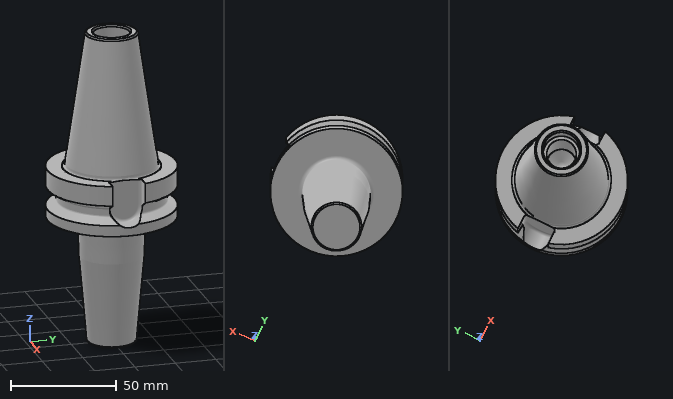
import cadquery as cq
import math

total_height = 155.4
gauge_height = 90.0
flange_top = 88.1
flange_bottom = 63.0
groove_top = 78.3
groove_bottom = 68.4
collar_bottom = 57.7
nose_shoulder = 43.5

flange_radius = 63.0 / 2
neck_radius = 53.0 / 2
taper_large_radius = 22.2
taper_small_radius = 12.7
collar_radius = 16.2
shoulder_radius = 15.7
tip_radius = 12.0
groove_flank_angle = 30
groove_fillet = 1.0
collar_fillet = 1.9
end_chamfer = 0.8

relief_fillet = 1.4
relief_radius = taper_large_radius + relief_fillet
relief_depth = 0.6

bore_radius = 8.7
bore_chamfer = 0.8
bore_depth = 9.3
pilot_radius = 7.0
pilot_depth = 31.1
drill_point_angle = 118

slot_half_width = 8.1
slot_floor_offset = 22.5
slot_arc_height = 75.0
slot_floor_fillet = 1.5
slot_overrun = 1.5


def make_body():
    """Revolve the outer profile and round the V-groove and collar corners."""
    flank_drop = (flange_radius - neck_radius) * math.tan(math.radians(groove_flank_angle))
    relief_floor = flange_top - relief_depth
    fillet_center = (relief_radius, relief_floor + relief_fillet)
    fillet_reach = relief_fillet * math.sqrt(0.5)
    fillet_middle = (fillet_center[0] - fillet_reach, fillet_center[1] - fillet_reach)
    below_relief = [
        (0, 0),
        (tip_radius - end_chamfer, 0),
        (tip_radius, end_chamfer),
        (shoulder_radius, nose_shoulder),
        (collar_radius, collar_bottom),
        (collar_radius, flange_bottom),
        (flange_radius, flange_bottom),
        (flange_radius, groove_bottom),
        (neck_radius, groove_bottom + flank_drop),
        (neck_radius, groove_top - flank_drop),
        (flange_radius, groove_top),
        (flange_radius, flange_top),
        (relief_radius, flange_top),
        (relief_radius, relief_floor),
    ]
    profile = (
        cq.Workplane("XZ")
        .polyline(below_relief)
        .threePointArc(fillet_middle, (taper_large_radius, relief_floor + relief_fillet))
        .lineTo(taper_large_radius, gauge_height)
        .lineTo(taper_small_radius, total_height - end_chamfer)
        .lineTo(taper_small_radius - end_chamfer, total_height)
        .lineTo(0, total_height)
        .close()
    )
    body = profile.revolve(360, (0, 0), (0, 1))

    def edge_at(radius, height):
        tolerance = 0.08
        reach = radius + tolerance
        corner = (-reach, -reach, height - tolerance)
        opposite = (reach, reach, height + tolerance)
        rings = body.edges(cq.selectors.BoxSelector(corner, opposite, boundingbox=True))
        return rings.edges(cq.selectors.RadiusNthSelector(-1))

    for height in (groove_bottom + flank_drop, groove_top - flank_drop):
        body = edge_at(neck_radius, height).fillet(groove_fillet)
    return edge_at(collar_radius, flange_bottom).fillet(collar_fillet)


def make_bore():
    """Chamfered counterbore with a drilled hole below it."""
    drill_tip = pilot_radius / math.tan(math.radians(drill_point_angle / 2))
    outline = [
        (0, total_height),
        (bore_radius + bore_chamfer, total_height),
        (bore_radius, total_height - bore_chamfer),
        (bore_radius, total_height - bore_depth),
        (pilot_radius, total_height - bore_depth),
        (pilot_radius, total_height - pilot_depth),
        (0, total_height - pilot_depth - drill_tip),
    ]
    return cq.Workplane("XZ").polyline(outline).close().revolve(360, (0, 0), (0, 1))


def make_slot():
    """Round-ended drive slot on the +X side, with a filleted floor."""
    slot = (
        cq.Workplane("YZ", origin=(slot_floor_offset, 0, 0))
        .moveTo(-slot_half_width, flange_top)
        .lineTo(-slot_half_width, slot_arc_height)
        .threePointArc((0, slot_arc_height - slot_half_width), (slot_half_width, slot_arc_height))
        .lineTo(slot_half_width, flange_top)
        .close()
        .extrude(flange_radius - slot_floor_offset + slot_overrun)
    )
    floor_rim = slot.faces("<X").edges("not(>Z)")
    return floor_rim.fillet(slot_floor_fillet)


result = make_body().cut(make_bore())
drive_slot = make_slot()
for angle in (0, 180):
    result = result.cut(drive_slot.rotate((0, 0, 0), (0, 0, 1), angle))